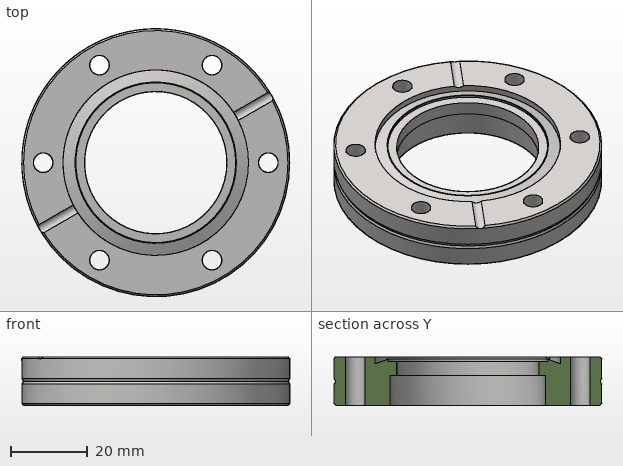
import cadquery as cq
import math

outer_radius = 34.95
thickness = 12.7
rim_chamfer = 0.5

bore_radius = 18.5
socket_radius = 20.3
socket_top_depth = 4.9

recess_radius = 24.2
knife_radius = 21.05
knife_inner_radius = 20.8
knife_tip_depth = 0.6
knife_slope_angle = 20.0
inner_land_depth = 1.2

groove_top_depth = 5.65
groove_root_depth = 6.5
groove_bottom_depth = 7.1
groove_depth = 0.35

bolt_count = 6
bolt_circle_radius = 29.35
bolt_hole_diameter = 5.0

leak_groove_angle = 30.0
leak_groove_radius = 1.6
leak_groove_axis_height = 1.05


def turned_body():
    """Revolve the half section about Z."""
    knife_drop = (recess_radius - knife_radius) * math.tan(math.radians(knife_slope_angle))
    recess_floor = thickness - knife_tip_depth - knife_drop
    section = [
        (socket_radius, 0),
        (outer_radius - rim_chamfer, 0),
        (outer_radius, rim_chamfer),
        (outer_radius, thickness - groove_bottom_depth),
        (outer_radius - groove_depth, thickness - groove_root_depth),
        (outer_radius, thickness - groove_top_depth),
        (outer_radius, thickness - rim_chamfer),
        (outer_radius - rim_chamfer, thickness),
        (recess_radius, thickness),
        (recess_radius, recess_floor),
        (knife_radius, thickness - knife_tip_depth),
        (knife_inner_radius, thickness - knife_tip_depth),
        (knife_inner_radius, thickness - inner_land_depth),
        (bore_radius, thickness - inner_land_depth),
        (bore_radius, thickness - socket_top_depth),
        (socket_radius, thickness - socket_top_depth),
    ]
    return cq.Workplane("XZ").polyline(section).close().revolve(360, (0, 0), (0, 1))


def bolt_holes():
    return (
        cq.Workplane("XY")
        .polarArray(bolt_circle_radius, 0, 360, bolt_count)
        .circle(bolt_hole_diameter / 2)
        .extrude(thickness)
    )


def leak_groove(angle):
    """Round cutter running outward from the knife edge radius past the rim."""
    return (
        cq.Workplane("YZ", origin=(knife_radius, 0, 0))
        .center(0, thickness + leak_groove_axis_height)
        .circle(leak_groove_radius)
        .extrude(outer_radius - knife_radius + leak_groove_radius)
        .rotate((0, 0, 0), (0, 0, 1), angle)
    )


result = turned_body().cut(bolt_holes())
for side_angle in (0, 180):
    result = result.cut(leak_groove(leak_groove_angle + side_angle))